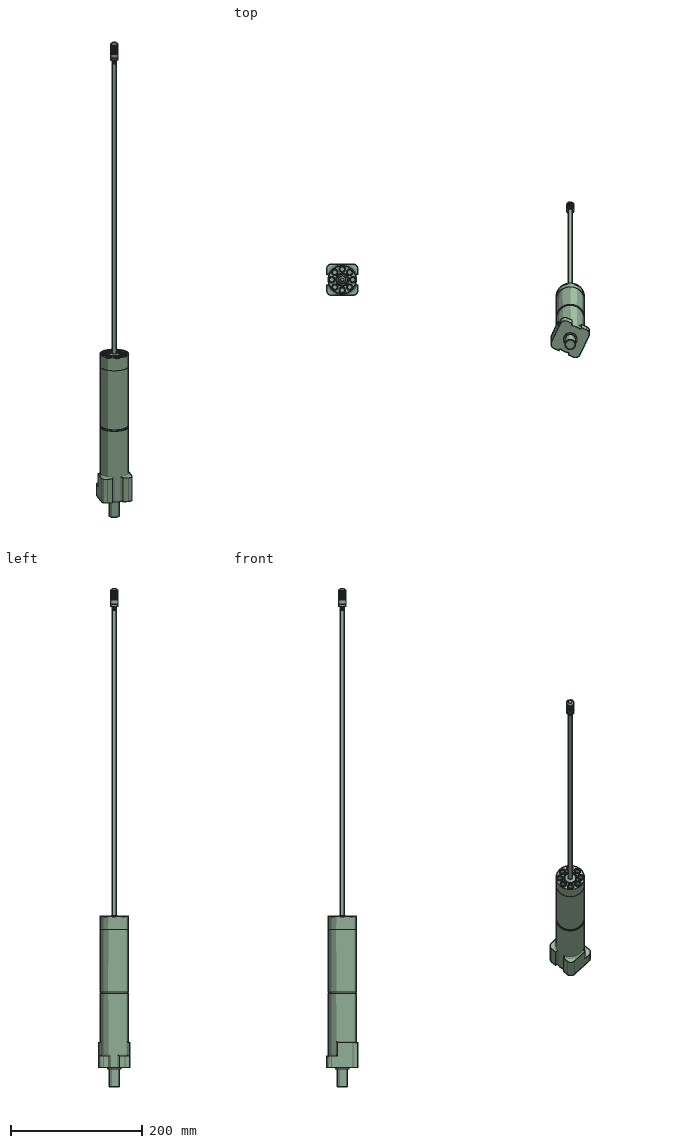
import cadquery as cq
import math

COLLAR_BOTTOM = 27.0
FOOT_BOTTOM = 30.0
FOOT_LOW_TOP = 47.0
FOOT_TOP = 68.0
TUBE_GROOVE_BOTTOM = 143.0
CAP_BOTTOM = 240.0
CAP_TOP = 261.0
NECK_BOTTOM = 726.5
KNOB_BOTTOM = 732.5
KNOB_GROOVE_BOTTOM = 735.5
KNURL_BOTTOM = 742.5
WHIP_TOP = 760.0

TUBE_DIAMETER = 43.0
TUBE_GROOVE_WIDTH = 2.0
GROOVE_DEPTH = 1.0

FOOT_WIDTH = 48.0
FOOT_CORNER_RADIUS = 7.5
FOOT_STEP_X = -7.5
FOOT_SLOT_WIDTH = 16.0
FOOT_BLEND_RADIUS = 1.9

CAP_HOLE_COUNT = 8
CAP_HOLE_CIRCLE_RADIUS = 16.0
CAP_HOLE_DIAMETER = 7.0
CAP_HOLE_DEPTH = 10.0
COUNTERBORE_DIAMETER = 10.0
COUNTERBORE_DEPTH = 1.5
RECESS_DIAMETER = 20.0
RECESS_DEPTH = 1.5
BOSS_DIAMETER = 17.0
BOSS_TOP_DIAMETER = 7.5
BOSS_HEIGHT = 2.0

TOLERANCE = 0.001

CONNECTOR_DIAMETER = 16.0
COLLAR_DIAMETER = 20.5
CONNECTOR_CHAMFER = 1.0

ROD_DIAMETER = 7.0
NECK_DIAMETER = 7.5
NECK_GROOVE_COUNT = 2
NECK_GROOVE_WIDTH = 1.5
KNOB_DIAMETER = 12.0
KNOB_CHAMFER = 3.4
KNOB_GROOVE_WIDTH = 1.0
FLUTE_COUNT = 16
FLUTE_RADIUS = 1.0


def cylinder(diameter, bottom, top):
    return cq.Workplane("XY").workplane(offset=bottom).circle(diameter / 2).extrude(top - bottom)


def ring_of_cylinders(count, circle_radius, diameter, bottom, top):
    plane = cq.Workplane("XY").workplane(offset=bottom)
    return plane.polarArray(circle_radius, 0, 360, count).circle(diameter / 2).extrude(top - bottom)


def cut_ring_groove(body, diameter, bottom, width):
    top = bottom + width
    groove = cylinder(diameter, bottom, top).cut(cylinder(diameter - 2 * GROOVE_DEPTH, bottom, top))
    return body.cut(groove)


def make_foot():
    """Square block with rounded corners, lower on the -X side and slotted along X."""
    height = FOOT_TOP - FOOT_BOTTOM
    base = cq.Workplane("XY").workplane(offset=FOOT_BOTTOM)
    foot = base.rect(FOOT_WIDTH, FOOT_WIDTH).extrude(height).edges("|Z").fillet(FOOT_CORNER_RADIUS)
    step = (
        base.workplane(offset=FOOT_LOW_TOP - FOOT_BOTTOM)
        .center(FOOT_STEP_X - FOOT_WIDTH / 2, 0)
        .rect(FOOT_WIDTH, FOOT_WIDTH)
        .extrude(FOOT_TOP - FOOT_LOW_TOP)
    )
    slot = base.rect(FOOT_WIDTH, FOOT_SLOT_WIDTH).extrude(height)
    return foot.cut(step).cut(slot)


def is_foot_joint(edge):
    """True for an edge that lies on the tube surface, beside the foot and above its bottom face."""
    on_tube = all(
        abs(math.hypot(point.x, point.y) - TUBE_DIAMETER / 2) < TOLERANCE
        for point in edge.positions([0, 0.5, 1])
    )
    return on_tube and FOOT_BOTTOM + TOLERANCE < edge.Center().z < FOOT_TOP + TOLERANCE


def make_tube():
    tube = cylinder(TUBE_DIAMETER, FOOT_BOTTOM, CAP_BOTTOM).union(make_foot())
    joint_edges = [edge for edge in tube.edges().vals() if is_foot_joint(edge)]
    tube = tube.newObject(joint_edges).fillet(FOOT_BLEND_RADIUS)
    return cut_ring_groove(tube, TUBE_DIAMETER, TUBE_GROOVE_BOTTOM, TUBE_GROOVE_WIDTH)


def make_boss():
    """Hollow cone on the recess floor, fitting around the whip rod."""
    floor = CAP_TOP - RECESS_DEPTH
    cone = cq.Workplane(
        cq.Solid.makeCone(BOSS_DIAMETER / 2, BOSS_TOP_DIAMETER / 2, BOSS_HEIGHT, pnt=cq.Vector(0, 0, floor))
    )
    return cone.cut(cylinder(ROD_DIAMETER, floor, floor + BOSS_HEIGHT))


def make_cap():
    cap = cylinder(TUBE_DIAMETER, CAP_BOTTOM, CAP_TOP)
    for diameter, depth in (
        (CAP_HOLE_DIAMETER, CAP_HOLE_DEPTH),
        (COUNTERBORE_DIAMETER, COUNTERBORE_DEPTH),
    ):
        cap = cap.cut(
            ring_of_cylinders(CAP_HOLE_COUNT, CAP_HOLE_CIRCLE_RADIUS, diameter, CAP_TOP - depth, CAP_TOP)
        )
    cap = cap.cut(cylinder(RECESS_DIAMETER, CAP_TOP - RECESS_DEPTH, CAP_TOP))
    return cap.union(make_boss())


def make_connector():
    stem = cylinder(CONNECTOR_DIAMETER, 0, COLLAR_BOTTOM).faces("<Z").chamfer(CONNECTOR_CHAMFER)
    return stem.union(cylinder(COLLAR_DIAMETER, COLLAR_BOTTOM, FOOT_BOTTOM))


def make_knob():
    knob = cylinder(KNOB_DIAMETER, KNOB_BOTTOM, WHIP_TOP).faces(">Z").chamfer(KNOB_CHAMFER)
    knob = cut_ring_groove(knob, KNOB_DIAMETER, KNOB_GROOVE_BOTTOM, KNOB_GROOVE_WIDTH)
    flutes = ring_of_cylinders(FLUTE_COUNT, KNOB_DIAMETER / 2, 2 * FLUTE_RADIUS, KNURL_BOTTOM, WHIP_TOP)
    return knob.cut(flutes)


def make_neck():
    neck = cylinder(NECK_DIAMETER, NECK_BOTTOM, KNOB_BOTTOM)
    land = (KNOB_BOTTOM - NECK_BOTTOM - NECK_GROOVE_COUNT * NECK_GROOVE_WIDTH) / (NECK_GROOVE_COUNT + 1)
    for index in range(NECK_GROOVE_COUNT):
        bottom = NECK_BOTTOM + land + index * (land + NECK_GROOVE_WIDTH)
        neck = cut_ring_groove(neck, NECK_DIAMETER, bottom, NECK_GROOVE_WIDTH)
    return neck


def make_whip():
    rod = cylinder(ROD_DIAMETER, CAP_TOP - RECESS_DEPTH, NECK_BOTTOM)
    return rod.union(make_neck()).union(make_knob())


tube = make_tube()
cap = make_cap()
connector = make_connector()
whip = make_whip()

result = cq.Compound.makeCompound([tube.val(), cap.val(), connector.val(), whip.val()])